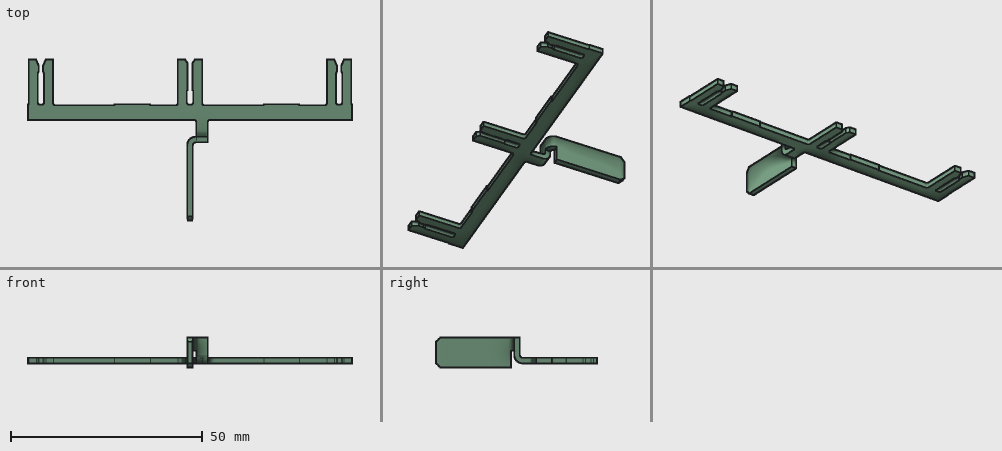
import cadquery as cq

thickness = 1.5
bend_inner = 0.8
bend_outer = bend_inner + thickness

bar_length = 84.6
bar_width = 3.9
pad_start = 19.2
pad_length = 9.3
pad_height = 0.25
root_radius = 0.5

fork_pitch = 38.9
fork_width = 6.4
fork_tip = 15.8
middle_fork = 0
first_fork = middle_fork - fork_pitch
last_fork = middle_fork + fork_pitch
slot_bottom = 4.1
slot_width = 1.6
slot_radius = 0.5
mouth_width = 2.5

lip_gap = 1.0
lip_start = 1.7
lip_end = 3.05
lip_taper = 0.7

throat_gap = 1.3
throat_start = 0.9
throat_end = 8.0
throat_step = 0.1

neck_left = 1.6
neck_right = 4.65
upright_rear = -4.3
upright_front = upright_rear - thickness
blade_left = -thickness / 2
blade_front = -26.2
blade_bottom = -1.1
blade_top = 6.85
blade_corner = 1.2
tip_thinning = 0.2
side_bend_bottom = 3.3


def box(x0, x1, y0, y1, z0, z1):
    """Box between opposite corner coordinates."""
    return cq.Workplane("XY").box(x1 - x0, y1 - y0, z1 - z0, centered=False).translate((x0, y0, z0))


def make_bar():
    """Flat bar with two slightly raised pads on its rear edge."""
    bar = box(-bar_length / 2, bar_length / 2, 0, bar_width, 0, thickness)
    for start in (pad_start - fork_pitch, pad_start):
        bar = bar.union(box(start, start + pad_length, 0, bar_width + pad_height, 0, thickness))
    return bar


def make_slot(center, gap, grip_start, grip_end, relief):
    """Fork slot that narrows to a gap, given as depths from the tip, then widens by a relief taper."""
    right_side = [
        (mouth_width / 2, fork_tip),
        (gap / 2, fork_tip - grip_start),
        (gap / 2, fork_tip - grip_end),
        (slot_width / 2, fork_tip - grip_end - relief),
        (slot_width / 2, slot_bottom),
    ]
    left_side = [(-x, y) for x, y in reversed(right_side)]
    slot = cq.Workplane("XY").polyline(right_side + left_side).close().extrude(thickness)
    return slot.edges("|Z and <Y").fillet(slot_radius).translate((center, 0, 0))


def make_neck():
    """Strip running forward from the bar and bending up into the upright."""
    return (
        cq.Workplane("YZ", origin=(neck_left, 0, 0))
        .moveTo(0, 0)
        .lineTo(upright_front + bend_outer, 0)
        .radiusArc((upright_front, bend_outer), bend_outer)
        .lineTo(upright_front, blade_top)
        .lineTo(upright_rear, blade_top)
        .lineTo(upright_rear, bend_outer)
        .radiusArc((upright_rear + bend_inner, thickness), -bend_inner)
        .lineTo(0, thickness)
        .close()
        .extrude(neck_right - neck_left)
    )


def make_side_bend():
    """Quarter bend turning the upright forward into the blade."""
    bend_x = blade_left + bend_outer
    bend_y = upright_rear - bend_outer
    return (
        cq.Workplane("XY", origin=(0, 0, side_bend_bottom))
        .moveTo(blade_left, bend_y)
        .radiusArc((bend_x, upright_rear), bend_outer)
        .lineTo(neck_left, upright_rear)
        .lineTo(neck_left, upright_front)
        .lineTo(bend_x, upright_front)
        .radiusArc((blade_left + thickness, bend_y), -bend_inner)
        .close()
        .extrude(blade_top - side_bend_bottom)
    )


def make_blade():
    """Vertical blade, thinned on both faces towards its tip, with both tip corners cut off."""
    blade_right = blade_left + thickness
    blade_rear = upright_rear - bend_outer
    taper_start = blade_front + blade_corner
    outline = [
        (blade_left, blade_rear),
        (blade_left, taper_start),
        (blade_left + tip_thinning, blade_front),
        (blade_right - tip_thinning, blade_front),
        (blade_right, taper_start),
        (blade_right, blade_rear),
    ]
    blade = (
        cq.Workplane("XY", origin=(0, 0, blade_bottom))
        .polyline(outline)
        .close()
        .extrude(blade_top - blade_bottom)
    )
    for corner_z, inward in ((blade_bottom, 1), (blade_top, -1)):
        corner = (
            cq.Workplane("YZ", origin=(blade_left, 0, 0))
            .moveTo(blade_front, corner_z)
            .lineTo(taper_start, corner_z)
            .lineTo(blade_front, corner_z + inward * blade_corner)
            .close()
            .extrude(thickness)
        )
        blade = blade.cut(corner)
    return blade


def inside_corner(x, y, x_side, y_side):
    """Concave fillet at (x, y); the sides give the direction of the open quadrant."""
    x_end = x + x_side * root_radius
    y_end = y + y_side * root_radius
    return (
        cq.Workplane("XY")
        .moveTo(x, y)
        .lineTo(x_end, y)
        .radiusArc((x, y_end), x_side * y_side * root_radius)
        .close()
        .extrude(thickness)
    )


result = make_bar()
for center in (first_fork, middle_fork, last_fork):
    left = center - fork_width / 2
    right = center + fork_width / 2
    result = result.union(box(left, right, 0, fork_tip, 0, thickness))
    result = result.union(inside_corner(left, bar_width, -1, 1))
    result = result.union(inside_corner(right, bar_width, 1, 1))

result = result.intersect(box(-bar_length / 2, bar_length / 2, 0, fork_tip, 0, thickness))

for center in (first_fork, last_fork):
    result = result.cut(make_slot(center, lip_gap, lip_start, lip_end, lip_taper))
result = result.cut(make_slot(middle_fork, throat_gap, throat_start, throat_end, throat_step))

result = result.union(make_neck()).union(make_side_bend()).union(make_blade())
result = result.union(inside_corner(neck_left, 0, -1, -1)).union(inside_corner(neck_right, 0, 1, -1))